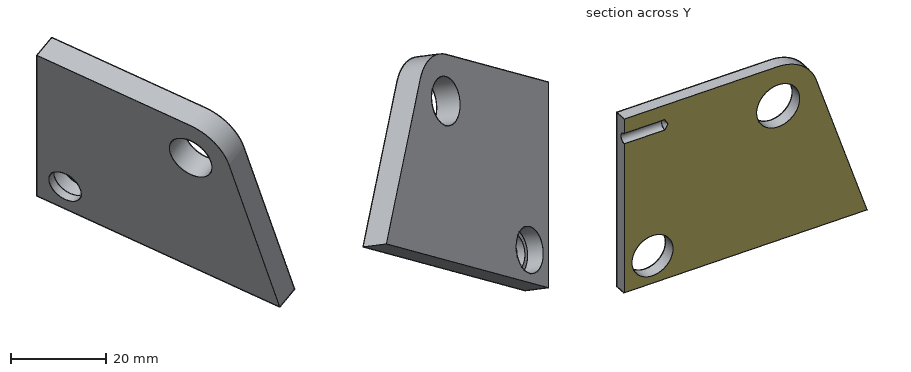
import cadquery as cq
import math

length = 60.0
thickness = 6.0
height = 44.0

corner_radius = 10.0
corner_x = 38.0
corner_z = height - corner_radius
large_hole_diameter = 10.5

small_hole_offset = 7.0
small_hole_diameter = 8.0
counterbore_diameter = 10.0
counterbore_depth = 4.0

end_hole_diameter = 2.5
end_hole_depth = 10.0
end_hole_below_top = 5.0
drill_point_angle = 118.0


def corner_point(angle):
    """Point on the rounded corner at an angle measured from +X."""
    return (
        corner_x + corner_radius * math.cos(angle),
        corner_z + corner_radius * math.sin(angle),
    )


def make_plate():
    """Plate whose sloped side runs from the lower right tip tangent to the corner arc."""
    tip_dx = length - corner_x
    tip_dz = -corner_z
    tip_distance = math.hypot(tip_dx, tip_dz)
    tangent_angle = math.atan2(tip_dz, tip_dx) + math.acos(corner_radius / tip_distance)
    top_angle = math.pi / 2
    middle_angle = (tangent_angle + top_angle) / 2
    return (
        cq.Workplane("XZ")
        .moveTo(0, 0)
        .lineTo(length, 0)
        .lineTo(*corner_point(tangent_angle))
        .threePointArc(corner_point(middle_angle), corner_point(top_angle))
        .lineTo(0, height)
        .close()
        .extrude(-thickness)
    )


def cross_cylinder(x, z, diameter, start_y, depth):
    """Cylinder along +Y, starting at start_y."""
    return cq.Workplane(
        cq.Solid.makeCylinder(diameter / 2, depth, cq.Vector(x, start_y, z), cq.Vector(0, 1, 0))
    )


def make_end_drill():
    """Drill shape along +X: a cylinder that ends in a conical point."""
    radius = end_hole_diameter / 2
    point_length = radius / math.tan(math.radians(drill_point_angle / 2))
    return (
        cq.Workplane("XY")
        .polyline([(0, 0), (end_hole_depth + point_length, 0), (end_hole_depth, radius), (0, radius)])
        .close()
        .revolve(360, (0, 0), (1, 0))
        .translate((0, thickness / 2, height - end_hole_below_top))
    )


large_hole = cross_cylinder(corner_x, corner_z, large_hole_diameter, 0, thickness)
small_hole = cross_cylinder(
    small_hole_offset, small_hole_offset, small_hole_diameter, 0, thickness
)
counterbore = cross_cylinder(
    small_hole_offset,
    small_hole_offset,
    counterbore_diameter,
    thickness - counterbore_depth,
    counterbore_depth,
)

result = make_plate().cut(large_hole).cut(small_hole).cut(counterbore).cut(make_end_drill())